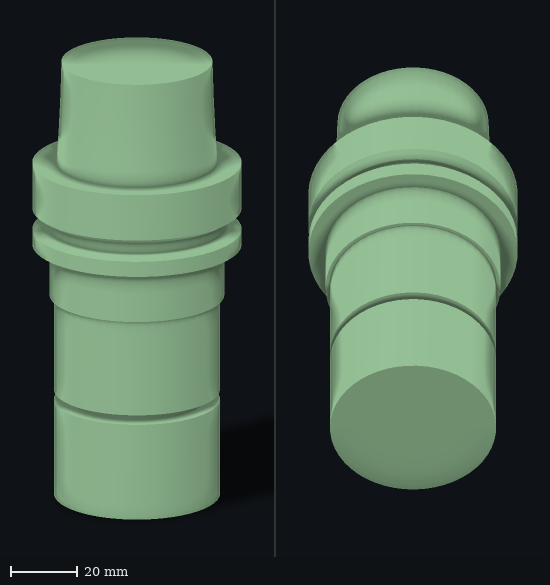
import cadquery as cq

body_diameter = 50.0
nut_height = 30.0

neck_diameter = 41.0
neck_top = 33.0
body_top = 63.0
collar_diameter = 52.6
collar_top = 79.0

flange_diameter = 63.0
groove_diameter = 55.0
lower_rim_top = 83.8
lower_bevel_diameter = 58.8
groove_bottom = 85.1
groove_top = 88.9
upper_bevel_diameter = 57.5
upper_rim_bottom = 90.5
flange_top = 105.0

shank_base_diameter = 48.5
shank_middle_diameter = 46.6
shank_end_diameter = 45.5
overall_height = 137.0
shank_middle = (flange_top + overall_height) / 2


def make_nut():
    return cq.Workplane("XY").circle(body_diameter / 2).extrude(nut_height)


def make_holder():
    """Revolve the half outline (radius, height) about the Z axis."""
    return (
        cq.Workplane("XZ")
        .moveTo(0, nut_height)
        .lineTo(neck_diameter / 2, nut_height)
        .lineTo(neck_diameter / 2, neck_top)
        .lineTo(body_diameter / 2, neck_top)
        .lineTo(body_diameter / 2, body_top)
        .lineTo(collar_diameter / 2, body_top)
        .lineTo(collar_diameter / 2, collar_top)
        .lineTo(flange_diameter / 2, collar_top)
        .lineTo(flange_diameter / 2, lower_rim_top)
        .lineTo(lower_bevel_diameter / 2, groove_bottom)
        .lineTo(groove_diameter / 2, groove_bottom)
        .lineTo(groove_diameter / 2, groove_top)
        .lineTo(upper_bevel_diameter / 2, groove_top)
        .lineTo(flange_diameter / 2, upper_rim_bottom)
        .lineTo(flange_diameter / 2, flange_top)
        .lineTo(shank_base_diameter / 2, flange_top)
        .threePointArc(
            (shank_middle_diameter / 2, shank_middle),
            (shank_end_diameter / 2, overall_height),
        )
        .lineTo(0, overall_height)
        .close()
        .revolve(360, (0, 0, 0), (0, 1, 0))
    )


nut = make_nut()
holder = make_holder()
result = cq.Compound.makeCompound([nut.val(), holder.val()])